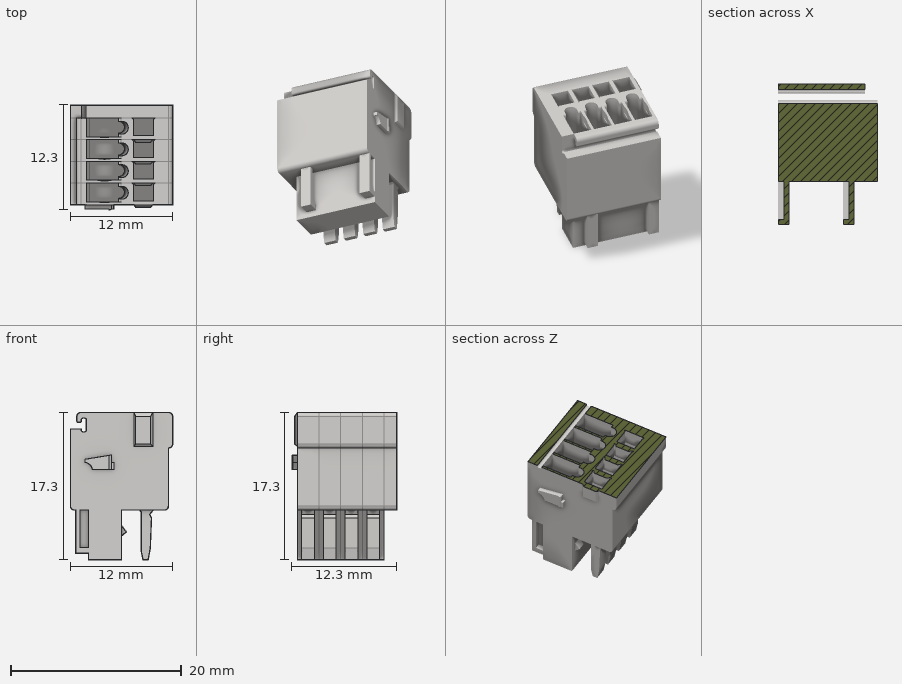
import cadquery as cq


module_count = 4
pitch = 2.54
plate_thickness = 1.5

height = 17.25
head_width = 12.0
body_width = 11.5
body_bottom = 5.8
corner_radius = 0.5
head_bottom = 13.07

hook_left = 0.75
groove_left = 1.3
groove_right = 1.86
groove_top = 16.58
groove_bottom = 14.97
ledge_height = 15.33
hook_fillet = 0.21
hook_bottom = 16.07

slot_left = 1.91
slot_right = 5.62
slot_length_y = 2.2
slot_depth = 6.0
floor_ramp_length = 0.36
floor_ramp_drop = 0.06
floor_ramp_radius = (floor_ramp_length**2 + floor_ramp_drop**2) / (2 * floor_ramp_drop)
lead_in_radius = 0.29

bore_top_diameter = 1.5
bore_bottom_diameter = 1.4
bore_top_x = 6.04
bore_bottom_x = 5.65
bore_top_inset = 1.13
bore_bottom_inset = 1.08
bore_run_in = 0.3

scallop_x = 4.0
scallop_chord = 1.6
scallop_height = 0.09
scallop_depth = 1.0

pocket_left = 7.4
pocket_right = 9.74
pocket_length_y = 2.07
pocket_depth = 4.0
pocket_flare = 0.15

rib_left = 7.46
rib_right = 9.66
rib_bottom = 13.28
rib_height = 0.3
rib_left_bevel = 0.2
rib_right_bevel = 0.26
rib_top_bevel = 0.48
rib_bottom_bevel = 0.27

plug_left = 2.12
plug_right = 6.0
nib_height = 0.57
nib_top = 4.0
nib_tip = 3.25
nib_bottom = 2.78
nib_width = 1.0

tongue_left = 0.62
tongue_bottom = 0.75
tongue_width = pitch / 2
tongue_wall = 0.52
tongue_floor = 1.43
tongue_pocket_depth = 0.65

pin_width = 1.5
pin_left = 8.28
pin_tip_left = 8.5
pin_tip_right = 9.12
pin_root_left = 8.1
pin_root_right = 9.7
pin_taper_top = 1.05
pin_root_chamfer = 0.2
pin_shoulder_x = 9.38
pin_shoulder_z = 1.35
pin_barb_x = 9.52
pin_barb_z = 4.9
pin_neck_x = 9.3
pin_neck_z = 5.3

tab_height = 0.5
tab_left = 1.72
tab_right = 4.81
tab_bottom = 10.54
tab_top_left = 11.76
tab_top_right = 12.26
tab_relief_top = 11.36
tab_relief_start = 1.9
tab_relief_end = 2.59
tab_relief_radius = 1.0
ridge_width = 0.3
ridge_rise = 0.1
ridge_radius = (ridge_width**2 + ridge_rise**2) / (2 * ridge_rise)
foot_length = 0.28


def slab(profile, y_start, y_end):
    """Extrude an XZ profile from y_start to y_end."""
    return profile.extrude(y_start - y_end).translate((0, y_start, 0))


def box(x, y, z):
    """Axis-aligned block from (low, high) pairs."""
    return (
        cq.Workplane("XY")
        .box(x[1] - x[0], y[1] - y[0], z[1] - z[0], centered=False)
        .translate((x[0], y[0], z[0]))
    )


def close_housing_outline(outline):
    """Finish an outline from the top edge clockwise to the left ledge."""
    r = corner_radius
    return (
        outline.lineTo(head_width - r, height)
        .radiusArc((head_width, height - r), r)
        .lineTo(head_width, head_bottom + r)
        .radiusArc((head_width - r, head_bottom), r)
        .lineTo(body_width, body_bottom + r)
        .radiusArc((body_width - r, body_bottom), r)
        .lineTo(r, body_bottom)
        .radiusArc((0, body_bottom + r), r)
        .lineTo(0, ledge_height)
        .lineTo(groove_left, ledge_height)
        .lineTo(groove_left, groove_bottom + hook_fillet)
        .radiusArc((groove_left + hook_fillet, groove_bottom), -hook_fillet)
        .lineTo(groove_right - hook_fillet, groove_bottom)
        .radiusArc((groove_right, groove_bottom + hook_fillet), -hook_fillet)
        .close()
    )


def hooked_profile():
    f = hook_fillet
    outline = (
        cq.Workplane("XZ")
        .moveTo(groove_right, groove_top - f)
        .radiusArc((groove_right - f, groove_top), -f)
        .lineTo(groove_left + f, groove_top)
        .radiusArc((groove_left, groove_top - f), -f)
        .lineTo(groove_left, hook_bottom + f)
        .radiusArc((groove_left - f, hook_bottom), f)
        .lineTo(hook_left + f, hook_bottom)
        .radiusArc((hook_left, hook_bottom + f), f)
        .lineTo(hook_left, height - corner_radius)
        .radiusArc((hook_left + corner_radius, height), corner_radius)
    )
    return close_housing_outline(outline)


def plate_profile():
    return close_housing_outline(cq.Workplane("XZ").moveTo(groove_right, height))


def wire_slot(y_back):
    floor = height - slot_depth
    r = lead_in_radius
    profile = (
        cq.Workplane("XZ")
        .moveTo(slot_left, height)
        .lineTo(slot_left, floor - floor_ramp_drop)
        .radiusArc((slot_left + floor_ramp_length, floor), floor_ramp_radius)
        .lineTo(slot_right, floor)
        .lineTo(slot_right, height - r)
        .radiusArc((slot_right + r, height), r)
        .close()
    )
    return slab(profile, y_back - slot_length_y, y_back)


def bore(y_back):
    start = slot_right - bore_run_in
    r_low = bore_bottom_diameter / 2
    r_top = bore_top_diameter / 2
    y_low = y_back - bore_bottom_inset
    y_top = y_back - bore_top_inset
    return (
        cq.Workplane("XY", origin=(0, 0, height - slot_depth))
        .moveTo(start, y_low - r_low)
        .lineTo(bore_bottom_x, y_low - r_low)
        .threePointArc((bore_bottom_x + r_low, y_low), (bore_bottom_x, y_low + r_low))
        .lineTo(start, y_low + r_low)
        .close()
        .workplane(offset=slot_depth)
        .moveTo(start, y_top - r_top)
        .lineTo(bore_top_x, y_top - r_top)
        .threePointArc((bore_top_x + r_top, y_top), (bore_top_x, y_top + r_top))
        .lineTo(start, y_top + r_top)
        .close()
        .loft(ruled=True)
    )


def scallop(y_back):
    y = y_back - slot_length_y
    half = scallop_chord / 2
    return (
        cq.Workplane("XY", origin=(scallop_x, y, height - scallop_depth))
        .moveTo(-half, 0)
        .threePointArc((0, -scallop_height), (half, 0))
        .close()
        .extrude(scallop_depth)
    )


def latch_pocket(y_back):
    f = pocket_flare
    y_front = y_back - pocket_length_y
    return (
        cq.Workplane("XY", origin=(0, 0, height - pocket_depth))
        .moveTo(pocket_left, y_front)
        .lineTo(pocket_right, y_front)
        .lineTo(pocket_right, y_back - f)
        .lineTo(pocket_right + f, y_back)
        .lineTo(pocket_left - f, y_back)
        .lineTo(pocket_left, y_back - f)
        .close()
        .extrude(pocket_depth)
    )


def latch_rib(y_front):
    face_left = rib_left + rib_left_bevel
    face_right = rib_right - rib_right_bevel
    face_bottom = rib_bottom + rib_bottom_bevel
    face_top = height - rib_top_bevel
    return (
        cq.Workplane("XZ", origin=(0, y_front, 0))
        .moveTo(rib_left, rib_bottom)
        .lineTo(rib_right, rib_bottom)
        .lineTo(rib_right, height)
        .lineTo(rib_left, height)
        .close()
        .workplane(offset=rib_height)
        .moveTo(face_left, face_bottom)
        .lineTo(face_right, face_bottom)
        .lineTo(face_right, face_top)
        .lineTo(face_left, face_top)
        .close()
        .loft(ruled=True)
    )


def plug(y_front):
    y_mid = y_front + pitch / 2
    block = box((plug_left, plug_right), (y_front, y_front + pitch), (0, body_bottom))
    nib = slab(
        cq.Workplane("XZ")
        .polyline([(plug_right, nib_bottom), (plug_right + nib_height, nib_tip), (plug_right, nib_top)])
        .close(),
        y_mid - nib_width / 2,
        y_mid + nib_width / 2,
    )
    return block.union(nib)


def tongue(y_front):
    rail = box((tongue_left, plug_left), (y_front, y_front + tongue_width), (tongue_bottom, body_bottom))
    recess = box(
        (tongue_left + tongue_wall, plug_left),
        (y_front, y_front + tongue_pocket_depth),
        (tongue_floor, body_bottom),
    )
    return rail.cut(recess)


def pin(y_front):
    y_mid = y_front + pitch / 2
    profile = cq.Workplane("XZ").polyline(
        [
            (pin_root_left, body_bottom),
            (pin_left, body_bottom - pin_root_chamfer),
            (pin_left, pin_taper_top),
            (pin_tip_left, 0),
            (pin_tip_right, 0),
            (pin_shoulder_x, pin_shoulder_z),
            (pin_barb_x, pin_barb_z),
            (pin_neck_x, pin_neck_z),
            (pin_root_right, body_bottom),
        ]
    )
    return slab(profile.close(), y_mid - pin_width / 2, y_mid + pin_width / 2)


def tab_profile():
    return (
        cq.Workplane("XZ")
        .moveTo(tab_left, tab_relief_top)
        .lineTo(tab_left, tab_top_left)
        .lineTo(tab_right, tab_top_right)
        .lineTo(tab_right, tab_bottom)
        .lineTo(tab_relief_end, tab_bottom)
        .radiusArc((tab_relief_start, tab_relief_top), -tab_relief_radius)
        .close()
    )


def keying_tab():
    blade = slab(tab_profile(), -tab_height, 0)
    ridge_left = tab_right - ridge_width
    ridge_y = -tab_height - ridge_rise
    ridge_prism = (
        cq.Workplane("XY", origin=(0, 0, tab_bottom))
        .moveTo(ridge_left, -tab_height)
        .lineTo(ridge_left, ridge_y)
        .radiusArc((tab_right, -tab_height), -ridge_radius)
        .close()
        .extrude(tab_top_right - tab_bottom)
    )
    ridge = slab(tab_profile(), ridge_y, -tab_height).intersect(ridge_prism)
    foot = box((tab_right, tab_right + foot_length), (-tab_height, 0), (tab_bottom, tab_relief_top))
    return blade.union(ridge).union(foot)


def module(index):
    y_front = index * pitch
    y_back = y_front + pitch
    body = slab(hooked_profile(), y_front, y_back)
    for cutout in (wire_slot, bore, scallop, latch_pocket):
        body = body.cut(cutout(y_back))
    body = body.union(plug(y_front)).union(pin(y_front))
    if index in (0, module_count - 1):
        body = body.union(tongue(y_front))
    return body.union(latch_rib(y_front))


stack_depth = module_count * pitch
result = slab(plate_profile(), stack_depth, stack_depth + plate_thickness)
for module_index in range(module_count):
    result = result.union(module(module_index), clean=False)
result = result.union(keying_tab(), clean=False)